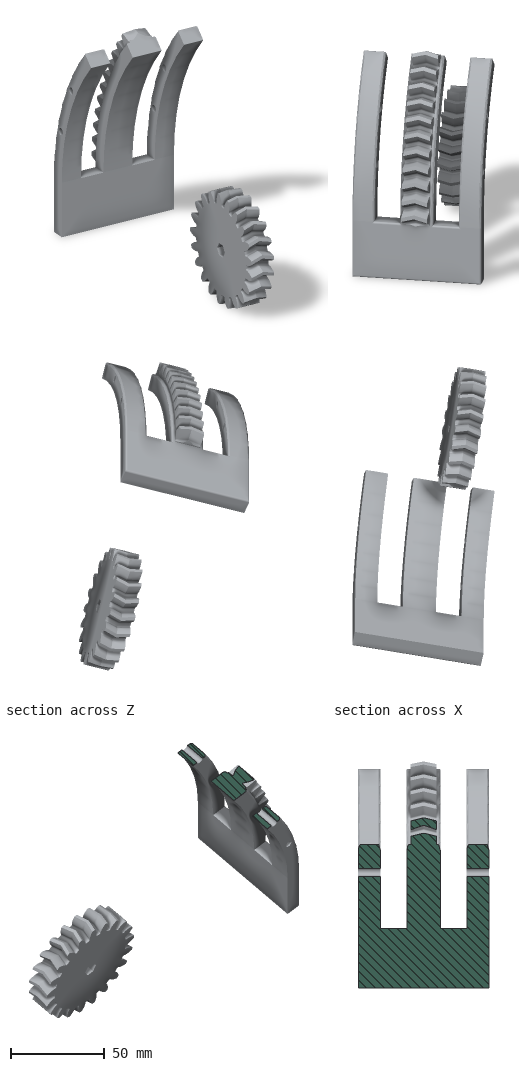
import cadquery as cq
import math

MODULE = 2.8
WHEEL_TEETH = 21
RACK_FULL_TEETH = 94
NORMAL_PRESSURE_ANGLE = math.radians(20)
HELIX_ANGLE = math.radians(15)
PRESSURE_ANGLE = math.atan(math.tan(NORMAL_PRESSURE_ANGLE) / math.cos(HELIX_ANGLE))
ADDENDUM = MODULE
DEDENDUM_RATIO = 1.25
DEDENDUM = DEDENDUM_RATIO * MODULE
ROOT_FILLET = 0.8
FACE_WIDTH = 14.0
HALF_FACE = FACE_WIDTH / 2
FLANK_POINTS = 5

HEX_ACROSS_FLATS = 7.0
HEX_SIDES = 6
WHEEL_FACE_TOOTH_ANGLE = math.pi

ARC_RADIUS = 127.5
THICKNESS = 9.0
ARC_SPAN = 42.0
BASE_HEIGHT = 32.0
FORK_WIDTH = 70.0
SIDE_ARM_WIDTH = 12.0
MIDDLE_ARM_WIDTH = 18.0
SLOT_SINK = 0.1
SLOT_WIDTH = (FORK_WIDTH - 2 * SIDE_ARM_WIDTH - MIDDLE_ARM_WIDTH) / 2
EDGE_FILLET = 1.0
HOLE_DIAMETER = 4.0
HOLE_ANGLES = (ARC_SPAN / 3, 2 * ARC_SPAN / 3)
INNER_RADIUS = ARC_RADIUS - THICKNESS
HOLE_RADIUS = ARC_RADIUS - THICKNESS / 2
CLEARANCE = 5.0
TOLERANCE = 1e-4

RACK_BED_RADIUS = ARC_RADIUS - EDGE_FILLET
RACK_STEP = 2 * math.pi / RACK_FULL_TEETH
RACK_WHOLE_TEETH = 11


def polar(radius, angle):
    """Point at an angle (radians) that turns from +X toward +Z."""
    return (radius * math.cos(angle), radius * math.sin(angle))


def arm_point(radius, degrees):
    """Point of the curved arms, at an angle that rises from -X toward +Z."""
    return polar(radius, math.pi - math.radians(degrees))


def profile_plane(y=0.0):
    """XZ sketch plane at a given Y; extrusions from it run toward -Y."""
    return cq.Workplane("XZ", origin=(0, y, 0))


def pitch_radius(teeth):
    return MODULE * teeth / 2


def root_radius(teeth):
    return pitch_radius(teeth) - DEDENDUM


def tip_radius(teeth):
    return pitch_radius(teeth) + ADDENDUM


def tooth_half_angle(teeth, radius):
    """Half the angle a tooth spans at a radius: involute flank, radial below the base circle."""
    base_radius = pitch_radius(teeth) * math.cos(PRESSURE_ANGLE)
    local_pressure = math.acos(min(1.0, base_radius / radius))
    pitch_involute = math.tan(PRESSURE_ANGLE) - PRESSURE_ANGLE
    local_involute = math.tan(local_pressure) - local_pressure
    return math.pi / (2 * teeth) + pitch_involute - local_involute


def half_tooth_points(teeth):
    """(radius, half angle) pairs: three of the root fillet, then those of the flank up to the tip."""
    root = root_radius(teeth)
    tip = tip_radius(teeth)
    base_radius = pitch_radius(teeth) * math.cos(PRESSURE_ANGLE)
    slope = math.acos(min(1.0, base_radius / root))
    turn = math.pi / 2 - slope
    centre_offset = ROOT_FILLET * math.tan(turn / 2)
    fillet = []
    for swept in (0.0, turn / 2):
        radius = root + ROOT_FILLET * (1 - math.cos(swept))
        offset = centre_offset - ROOT_FILLET * math.sin(swept)
        fillet.append((radius, tooth_half_angle(teeth, root) + offset / radius))
    fillet_end = root + ROOT_FILLET * (1 - math.cos(turn))
    fillet.append((fillet_end, tooth_half_angle(teeth, fillet_end)))

    flank_start = max(base_radius, fillet_end)
    flank = []
    for step in range(FLANK_POINTS):
        radius = flank_start + (tip - flank_start) * step / (FLANK_POINTS - 1)
        flank.append((radius, tooth_half_angle(teeth, radius)))
    return fillet, flank


def tooth_start(teeth, centre):
    """Point on the root circle where the outline of a tooth begins."""
    fillet, _ = half_tooth_points(teeth)
    radius, half = fillet[0]
    return polar(radius, centre - half)


def add_tooth(path, teeth, centre):
    """Carry an outline over one tooth, in the direction of growing angle."""
    fillet, flank = half_tooth_points(teeth)
    rising_fillet = [polar(r, centre - half) for r, half in fillet]
    falling_fillet = [polar(r, centre + half) for r, half in reversed(fillet)]
    rising = [polar(r, centre - half) for r, half in flank]
    falling = [polar(r, centre + half) for r, half in reversed(flank)]
    has_radial_stretch = flank[0][0] > fillet[-1][0]

    path = path.threePointArc(rising_fillet[1], rising_fillet[2])
    if has_radial_stretch:
        path = path.lineTo(*rising[0])
    path = path.spline(rising[1:], includeCurrent=True)
    path = path.threePointArc(polar(tip_radius(teeth), centre), falling[0])
    path = path.spline(falling[1:], includeCurrent=True)
    if has_radial_stretch:
        path = path.lineTo(*falling_fillet[0])
    return path.threePointArc(falling_fillet[1], falling_fillet[2])


def add_teeth(path, teeth, centres):
    """Carry an outline over a row of teeth, joined by arcs of the root circle."""
    step = 2 * math.pi / teeth
    for index, centre in enumerate(centres):
        if index > 0:
            gap_middle = polar(root_radius(teeth), centre - step / 2)
            path = path.threePointArc(gap_middle, tooth_start(teeth, centre))
        path = add_tooth(path, teeth, centre)
    return path


def helix_turn(teeth):
    """Angle the teeth turn through between an end face and the middle plane."""
    return HALF_FACE * math.tan(HELIX_ANGLE) / pitch_radius(teeth)


def herringbone(middle_outline, turn):
    """Solid whose section turns by `turn` radians from the middle plane to both end faces."""
    near_half = middle_outline.twistExtrude(HALF_FACE, math.degrees(turn))
    return near_half.union(near_half.mirror("XZ"))


def make_wheel():
    turn = helix_turn(WHEEL_TEETH)
    step = 2 * math.pi / WHEEL_TEETH
    first = WHEEL_FACE_TOOTH_ANGLE + turn
    centres = [first + index * step for index in range(WHEEL_TEETH)]
    path = profile_plane().moveTo(*tooth_start(WHEEL_TEETH, first))
    path = add_teeth(path, WHEEL_TEETH, centres)
    closing_middle = polar(root_radius(WHEEL_TEETH), first - step / 2)
    path = path.threePointArc(closing_middle, tooth_start(WHEEL_TEETH, first))
    blank = herringbone(path.close(), -turn)

    across_corners = HEX_ACROSS_FLATS / math.cos(math.pi / HEX_SIDES)
    bore = profile_plane(HALF_FACE).polygon(HEX_SIDES, across_corners).extrude(FACE_WIDTH)
    return blank.cut(bore)


def arm_sector(inner, outer, width):
    """Ring sector over the span of the arms, centred on Y = 0."""
    return (
        profile_plane(width / 2)
        .moveTo(*arm_point(inner, 0))
        .lineTo(*arm_point(outer, 0))
        .threePointArc(arm_point(outer, ARC_SPAN / 2), arm_point(outer, ARC_SPAN))
        .lineTo(*arm_point(inner, ARC_SPAN))
        .threePointArc(arm_point(inner, ARC_SPAN / 2), arm_point(inner, 0))
        .close()
        .extrude(width)
    )


def on_outer_outline(edge):
    """True for the edges that bound the outer face, straight base and curved arms together."""
    for vertex in edge.Vertices():
        radius = math.hypot(vertex.X, max(vertex.Z, 0.0))
        if abs(radius - ARC_RADIUS) > TOLERANCE:
            return False
    is_seam = edge.geomType() == "LINE" and abs(edge.Center().z) < TOLERANCE
    return not is_seam


def make_fork_blank():
    base = cq.Workplane("XY").box(THICKNESS, FORK_WIDTH, BASE_HEIGHT, centered=(False, True, False))
    base = base.translate((-ARC_RADIUS, 0, -BASE_HEIGHT))
    blank = base.union(arm_sector(INNER_RADIUS, ARC_RADIUS, FORK_WIDTH))
    slot_reach = ARC_RADIUS + CLEARANCE
    slot = cq.Workplane("XY").box(slot_reach, SLOT_WIDTH, slot_reach, centered=(False, True, False))
    slot_centre = (MIDDLE_ARM_WIDTH + SLOT_WIDTH) / 2
    for side in (-1, 1):
        blank = blank.cut(slot.translate((-slot_reach, side * slot_centre, -SLOT_SINK)))
    outline = [edge for edge in blank.edges().vals() if on_outer_outline(edge)]
    return blank.newObject(outline).fillet(EDGE_FILLET)


def make_side_arm_holes():
    """Cutters for the cross holes of the two side arms; the middle arm stays whole."""
    centres = [arm_point(HOLE_RADIUS, angle) for angle in HOLE_ANGLES]
    drills = profile_plane(FORK_WIDTH / 2).pushPoints(centres).circle(HOLE_DIAMETER / 2)
    drills = drills.extrude(FORK_WIDTH)
    middle = cq.Workplane("XY").box(2 * ARC_RADIUS, MIDDLE_ARM_WIDTH + SLOT_WIDTH, 2 * ARC_RADIUS)
    return drills.cut(middle)


def make_rack_teeth():
    """Toothed strip: eleven teeth and, at the base, the upper flank of one more."""
    turn = helix_turn(RACK_FULL_TEETH)
    top_centre = math.pi - (RACK_WHOLE_TEETH - 0.5) * RACK_STEP - turn
    centres = [top_centre + index * RACK_STEP for index in range(RACK_WHOLE_TEETH + 1)]
    start = top_centre - RACK_STEP / 2
    end = centres[-1] + RACK_STEP / 2
    root = root_radius(RACK_FULL_TEETH)
    path = profile_plane().moveTo(*polar(RACK_BED_RADIUS, start)).lineTo(*polar(root, start))
    path = path.lineTo(*tooth_start(RACK_FULL_TEETH, top_centre))
    path = add_teeth(path, RACK_FULL_TEETH, centres)
    path = path.lineTo(*polar(root, end)).lineTo(*polar(RACK_BED_RADIUS, end))
    bed_middle = polar(RACK_BED_RADIUS, (start + end) / 2)
    path = path.threePointArc(bed_middle, polar(RACK_BED_RADIUS, start))
    strip = herringbone(path.close(), turn)
    reach = tip_radius(RACK_FULL_TEETH) + CLEARANCE
    return strip.intersect(arm_sector(INNER_RADIUS, reach, FACE_WIDTH + CLEARANCE))


def make_fork():
    return make_fork_blank().cut(make_side_arm_holes()).union(make_rack_teeth())


wheel = make_wheel()
fork = make_fork()

result = cq.Compound.makeCompound([*wheel.solids().vals(), *fork.solids().vals()])